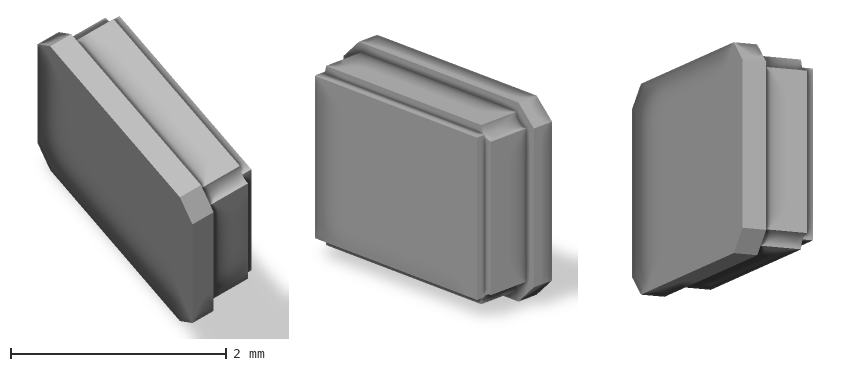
import cadquery as cq
import math

LENGTH = 2.5
WIDTH = 2.0
DEPTH = 0.8

LID_THICKNESS = 0.1
LAYER_THICKNESS = 0.23
FLANGE_THICKNESS = DEPTH - LID_THICKNESS - 2 * LAYER_THICKNESS

STEP_Y = FLANGE_THICKNESS
RING_Y = STEP_Y + LAYER_THICKNESS
LID_Y = RING_Y + LAYER_THICKNESS

CORNER_CHAMFER = 0.202
RIM = 0.1
NOTCH_RADIUS = 0.13
LAYER_LENGTH = LENGTH - 2 * RIM
LAYER_WIDTH = WIDTH - 2 * RIM
LID_SETBACK = 0.085
LID_LENGTH = LAYER_LENGTH - 2 * LID_SETBACK
LID_WIDTH = LAYER_WIDTH - 2 * LID_SETBACK

CENTER_LENGTH = 1.3
CENTER_WIDTH = 1.0
CENTER_RADIUS = 0.3

TERMINAL_LENGTH = 0.7
TERMINAL_WIDTH = 0.6
PAD_CLEARANCE = 0.15
ARC_RADIUS = CENTER_RADIUS + PAD_CLEARANCE
ARC_CENTER_X = CENTER_LENGTH / 2 - CENTER_RADIUS
ARC_CENTER_Z = CENTER_WIDTH / 2 - CENTER_RADIUS
BAND_REACH = 0.35


def plane_at(y):
    """XZ workplane at depth y, with local x = X, local y = Z and normal = -Y."""
    return cq.Workplane("XZ", origin=(0, y, 0))


def make_layer(y):
    """Rectangular layer with a quarter-round notch at each corner."""
    block = plane_at(y).rect(LAYER_LENGTH, LAYER_WIDTH).extrude(-LAYER_THICKNESS)
    notches = (
        plane_at(y)
        .rect(LAYER_LENGTH, LAYER_WIDTH, forConstruction=True)
        .vertices()
        .circle(NOTCH_RADIUS)
        .extrude(-LAYER_THICKNESS)
    )
    return block.cut(notches).solids()


def make_center_pad():
    """Rounded rectangular pad, flush with the terminal face."""
    pad = plane_at(0).rect(CENTER_LENGTH, CENTER_WIDTH).extrude(-FLANGE_THICKNESS)
    return pad.edges("|Y").fillet(CENTER_RADIUS).solids()


def make_terminal(side_x, side_z):
    """Corner terminal; side_x and side_z (+1 or -1) choose the corner."""
    edge_x = LENGTH / 2
    edge_z = WIDTH / 2
    outer_x = edge_x - RIM
    outer_z = edge_z - RIM
    inner_x = outer_x - TERMINAL_LENGTH
    inner_z = outer_z - TERMINAL_WIDTH

    arc_start_z = ARC_CENTER_Z + math.sqrt(ARC_RADIUS**2 - (inner_x - ARC_CENTER_X) ** 2)
    arc_end_x = ARC_CENTER_X + math.sqrt(ARC_RADIUS**2 - (inner_z - ARC_CENTER_Z) ** 2)
    arc_middle = ARC_RADIUS / math.sqrt(2)

    def corner(x, z):
        return (side_x * x, side_z * z)

    return (
        plane_at(0)
        .moveTo(*corner(inner_x, outer_z))
        .lineTo(*corner(inner_x, arc_start_z))
        .threePointArc(
            corner(ARC_CENTER_X + arc_middle, ARC_CENTER_Z + arc_middle),
            corner(arc_end_x, inner_z),
        )
        .lineTo(*corner(outer_x, inner_z))
        .lineTo(*corner(outer_x, edge_z - BAND_REACH + RIM))
        .lineTo(*corner(edge_x, edge_z - BAND_REACH))
        .lineTo(*corner(edge_x, edge_z - CORNER_CHAMFER))
        .lineTo(*corner(edge_x - CORNER_CHAMFER, edge_z))
        .lineTo(*corner(edge_x - BAND_REACH, edge_z))
        .lineTo(*corner(edge_x - BAND_REACH + RIM, outer_z))
        .close()
        .extrude(-FLANGE_THICKNESS)
    )


def make_base(inlays):
    """Chamfered flange with a notched step behind it, recessed for the inlaid pads."""
    flange = plane_at(0).rect(LENGTH, WIDTH).extrude(-FLANGE_THICKNESS)
    flange = flange.edges("|Y").chamfer(CORNER_CHAMFER)
    base = flange.union(make_layer(STEP_Y))
    for inlay in inlays:
        base = base.cut(inlay)
    return base.solids()


def make_lid():
    """Plain rectangular lid on the seal ring."""
    return plane_at(LID_Y).rect(LID_LENGTH, LID_WIDTH).extrude(-LID_THICKNESS)


center_pad = make_center_pad()
terminals = []
for side_x in (-1, 1):
    for side_z in (-1, 1):
        terminals.append(make_terminal(side_x, side_z))

base = make_base([center_pad, *terminals])
seal_ring = make_layer(RING_Y)
lid = make_lid()

result = cq.Compound.makeCompound(
    [
        base.val(),
        seal_ring.val(),
        lid.val(),
        center_pad.val(),
        *[terminal.val() for terminal in terminals],
    ]
)